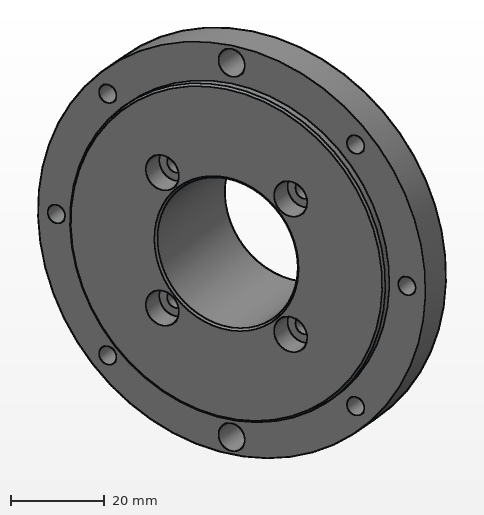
import cadquery as cq
import math

spigot_diameter = 76.5
spigot_height = 2.3
spigot_chamfer = 0.5

flange_diameter = 94.0
flange_thickness = 10.2
flange_chamfer = 1.0

hub_diameter = 63.0
hub_chamfer = 2.5

overall_length = 30.5
flange_back = spigot_height + flange_thickness
hub_length = overall_length - flange_back

bore_diameter = 34.0
bore_chamfer = 0.5

screw_diameter = 4.2
dowel_diameter = 6.35
counterbore_diameter = 8.0
counterbore_depth = 6.0
flange_screw_circle = 85.0
dowel_circle = 86.0
hub_screw_circle = 44.0

flange_screw_angles = [0, 45, 135, 180, 225, 315]
dowel_angles = [90, 270]
hub_screw_angles = [45, 135, 225, 315]


def cylinder(diameter, start, length, x=0.0, z=0.0):
    """Cylinder along +Y, starting at Y = start, with its axis at (x, z)."""
    base = cq.Vector(x, start, z)
    return cq.Workplane(cq.Solid.makeCylinder(diameter / 2, length, base, cq.Vector(0, 1, 0)))


def make_body():
    """Spigot, flange and hub, each with one chamfered rim."""
    spigot = cylinder(spigot_diameter, 0, spigot_height).faces("<Y").chamfer(spigot_chamfer)
    flange = cylinder(flange_diameter, spigot_height, flange_thickness)
    flange = flange.faces(">Y").chamfer(flange_chamfer)
    hub = cylinder(hub_diameter, flange_back, hub_length).faces(">Y").chamfer(hub_chamfer)
    return spigot.union(flange).union(hub)


def cut_bore(body):
    """Through bore, chamfered at the spigot face."""
    bore = cylinder(bore_diameter, 0, overall_length)
    lead_in = cq.Workplane(
        cq.Solid.makeCone(
            bore_diameter / 2 + bore_chamfer,
            bore_diameter / 2,
            bore_chamfer,
            cq.Vector(0, 0, 0),
            cq.Vector(0, 1, 0),
        )
    )
    return body.cut(bore).cut(lead_in)


def cut_holes(body, diameter, circle_diameter, angles, depth):
    """Round holes on a pitch circle, drilled from the spigot face to the given depth."""
    for angle in angles:
        x = circle_diameter / 2 * math.cos(math.radians(angle))
        z = circle_diameter / 2 * math.sin(math.radians(angle))
        body = body.cut(cylinder(diameter, 0, depth, x, z))
    return body


result = cut_bore(make_body())
result = cut_holes(result, screw_diameter, flange_screw_circle, flange_screw_angles, flange_back)
result = cut_holes(result, dowel_diameter, dowel_circle, dowel_angles, flange_back)
result = cut_holes(result, screw_diameter, hub_screw_circle, hub_screw_angles, overall_length)
result = cut_holes(result, counterbore_diameter, hub_screw_circle, hub_screw_angles, counterbore_depth)